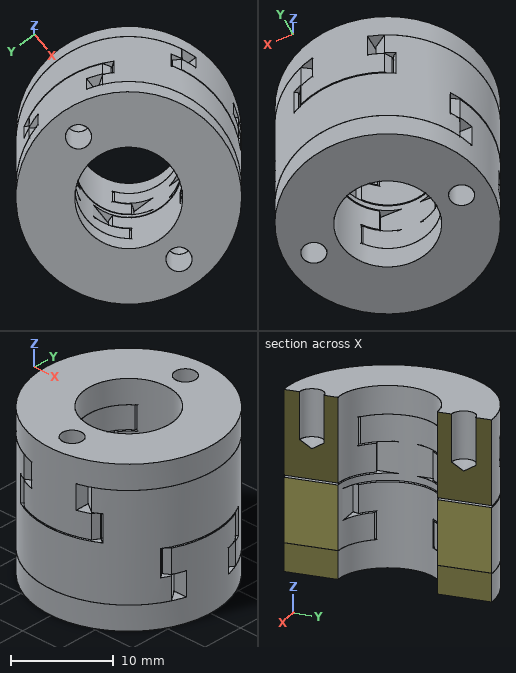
import cadquery as cq
import math

outer_diameter = 22.0
bore_diameter = 10.5
flange_thickness = 3.0
ring_height = 13.02
total_height = ring_height + 2 * flange_thickness

clearance = 0.15
neck_half_width = 3.0
neck_height = 3.0
head_half_width = 5.0
head_height = 3.0

head_rim_half_width = 4.53
head_flank_outer = 9.26
head_flank_inner = 3.21
head_bore_half_width = 4.31

slot_neck_half_width = neck_half_width + clearance
slot_neck_height = neck_height - clearance
slot_head_half_width = head_half_width + clearance
slot_depth = neck_height + head_height + clearance
neck_flare_start = 9.06
neck_flare_half_width = head_rim_half_width
head_flare_start = 9.26
head_flare_half_width = 5.55

hole_diameter = 2.53
hole_distance = 8.0
hole_depth = 5.0
drill_tip_angle = 118.0

beyond_rim = 0.6 * outer_diameter

quarter_turn = 90
half_turn = 180
full_turn = 360


def distance_on_circle(diameter, half_width):
    """Distance along the tooth direction at which a circle reaches the given half width."""
    return math.sqrt((diameter / 2) ** 2 - half_width**2)


def tube(height):
    """Plain cylinder with the common bore, standing on Z = 0."""
    return cq.Workplane("XY").circle(outer_diameter / 2).circle(bore_diameter / 2).extrude(height)


def opposite_pair(half_outline, bottom, height):
    """Prisms on the +Y and -Y sides; half_outline lists (half width, distance) outwards from the axis."""
    left_side = [(-half_width, distance) for half_width, distance in reversed(half_outline)]
    prism = (
        cq.Workplane("XY")
        .workplane(offset=bottom)
        .polyline(half_outline + left_side)
        .close()
        .extrude(height)
    )
    return prism.union(prism.rotate((0, 0, 0), (0, 0, 1), half_turn))


def drilled_holes():
    """Two drills with conical tips, entering at Z = 0 and pointing to +Z."""
    radius = hole_diameter / 2
    tip_length = radius / math.tan(math.radians(drill_tip_angle / 2))
    drill = (
        cq.Workplane("XZ")
        .polyline([(0, 0), (radius, 0), (radius, hole_depth), (0, hole_depth + tip_length)])
        .close()
        .revolve(full_turn, (0, 0, 0), (0, 1, 0))
    )
    return drill.translate((0, hole_distance, 0)).union(drill.translate((0, -hole_distance, 0)))


def make_hub():
    """Flange on Z = 0 with two T-shaped teeth rising on the +Y and -Y sides."""
    neck_outline = [(neck_half_width, 0), (neck_half_width, beyond_rim)]
    head_outline = [
        (head_bore_half_width, distance_on_circle(bore_diameter, head_bore_half_width)),
        (head_half_width, head_flank_inner),
        (head_half_width, head_flank_outer),
        (head_rim_half_width, distance_on_circle(outer_diameter, head_rim_half_width)),
        (head_rim_half_width, beyond_rim),
    ]
    necks = opposite_pair(neck_outline, 0, flange_thickness + neck_height)
    heads = opposite_pair(head_outline, flange_thickness + neck_height, head_height)
    teeth = necks.union(heads).intersect(tube(total_height))
    return tube(flange_thickness).union(teeth).cut(drilled_holes())


def make_ring_slots():
    """T-shaped slots along Y, open at Z = 0."""
    neck_outline = [
        (slot_neck_half_width, 0),
        (slot_neck_half_width, neck_flare_start),
        (neck_flare_half_width, distance_on_circle(outer_diameter, neck_flare_half_width)),
        (neck_flare_half_width, beyond_rim),
    ]
    head_outline = [
        (slot_head_half_width, 0),
        (slot_head_half_width, head_flare_start),
        (head_flare_half_width, distance_on_circle(outer_diameter, head_flare_half_width)),
        (head_flare_half_width, beyond_rim),
    ]
    necks = opposite_pair(neck_outline, 0, slot_neck_height)
    heads = opposite_pair(head_outline, slot_neck_height, slot_depth - slot_neck_height)
    return necks.union(heads)


def to_bottom_end(shape):
    """Turn a shape built at the bottom so that its Y direction lies along X."""
    return shape.rotate((0, 0, 0), (0, 0, 1), quarter_turn)


def to_top_end(shape, height):
    """Turn a shape upside down, keeping its Y direction, so that its foot lies at the given height."""
    return shape.rotate((0, 0, 0), (0, 1, 0), half_turn).translate((0, 0, height))


def make_ring():
    """Middle ring with slots along X below and along Y above."""
    slots = make_ring_slots()
    ring = tube(ring_height).cut(to_bottom_end(slots)).cut(to_top_end(slots, ring_height))
    return ring.translate((0, 0, flange_thickness))


ring = make_ring()
hub = make_hub()
hubs = [to_bottom_end(hub), to_top_end(hub, total_height)]

result = cq.Compound.makeCompound([ring.val(), *[placed_hub.val() for placed_hub in hubs]])